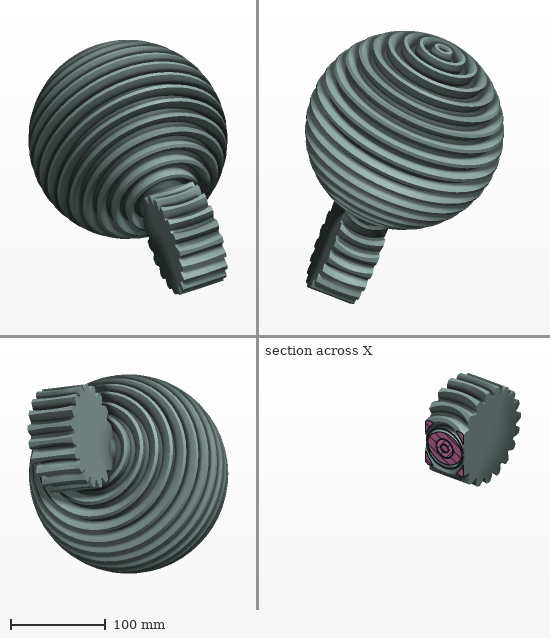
import cadquery as cq
import math

module = 5.0
pressure_angle = math.radians(20)
ball_teeth = 40
gear_teeth = 20
gear_width = 50.0
tip_clearance = 0.25 * module
flank_clearance = 0.1

ball_pitch_radius = module * ball_teeth / 2
ball_tip_radius = ball_pitch_radius + module
ball_root_radius = ball_pitch_radius - module - tip_clearance
base_radius = ball_pitch_radius * math.cos(pressure_angle)
gear_pitch_radius = module * gear_teeth / 2
gear_tip_radius = gear_pitch_radius + module
cutter_tip_radius = ball_tip_radius + tip_clearance
centre_distance = ball_pitch_radius + gear_pitch_radius
gear_ratio = ball_teeth / gear_teeth
ball_tooth_pitch = 2 * math.pi / ball_teeth
setback_angle = flank_clearance / ball_pitch_radius

pole_rings = 2
pole_cut_turn = math.radians(6)
approach_angle = math.radians(33)
recess_angle = math.radians(12)

profile_samples = 30
flank_points = 6
gap_sections = 5
gap_overshoot = 1.0

bottom_margin = 1e-6
seam_margin = 1e-4

origin = (0, 0, 0)
x_axis = (1, 0, 0)
y_axis = (0, 1, 0)


def polar(radius, angle):
    return (radius * math.cos(angle), radius * math.sin(angle))


def involute(angle):
    return math.tan(angle) - angle


def ring_angle(ring):
    """Angle of a ring tooth's centre from the ball's pole on +X."""
    return (ring + 0.5) * ball_tooth_pitch


def half_tooth_angle(radius):
    """Half the angle that a full involute tooth fills at a radius, radial below the base circle."""
    slope = math.acos(min(1.0, base_radius / radius))
    return ball_tooth_pitch / 4 + involute(pressure_angle) - involute(slope)


def add_tooth(profile, ring, tip_radius, setback):
    """Continue a profile over one ring tooth, from its root on the pole side."""
    centre = ring_angle(ring)
    middle_radius = (ball_root_radius + tip_radius) / 2
    root = half_tooth_angle(ball_root_radius) - setback
    middle = half_tooth_angle(middle_radius) - setback
    tip = half_tooth_angle(tip_radius) - setback
    return (
        profile.threePointArc(polar(middle_radius, centre - middle), polar(tip_radius, centre - tip))
        .threePointArc(polar(tip_radius, centre), polar(tip_radius, centre + tip))
        .threePointArc(polar(middle_radius, centre + middle), polar(ball_root_radius, centre + root))
    )


def make_ball():
    half_gap = ball_tooth_pitch / 2 - half_tooth_angle(ball_root_radius) + setback_angle
    profile = cq.Workplane("XY").lineTo(ball_root_radius, 0)
    profile = profile.threePointArc(
        polar(ball_root_radius, half_gap / 2), polar(ball_root_radius, half_gap)
    )
    last_ring = ball_teeth // 2 - 1
    for ring in range(last_ring):
        gap_middle = (ring + 1) * ball_tooth_pitch
        profile = add_tooth(profile, ring, ball_tip_radius, setback_angle).threePointArc(
            polar(ball_root_radius, gap_middle), polar(ball_root_radius, gap_middle + half_gap)
        )
    profile = add_tooth(profile, last_ring, ball_tip_radius, setback_angle).threePointArc(
        polar(ball_root_radius, math.pi - half_gap / 2), (-ball_root_radius, 0)
    )
    return profile.close().revolve(360, origin, x_axis)


def make_quarter_blank():
    """The +Y, +Z quarter of the gear before its teeth are cut."""
    outline = (
        cq.Workplane("XZ")
        .moveTo(-gear_tip_radius, 0)
        .threePointArc((0, gear_tip_radius), (gear_tip_radius, 0))
        .close()
    )
    return outline.extrude(-gear_width / 2)


def make_ring_cutter(ring):
    """The +Y half of one full ring tooth, with its tip raised by the clearance."""
    start = ring_angle(ring) - half_tooth_angle(ball_root_radius)
    profile = cq.Workplane("XY").moveTo(*polar(ball_root_radius, start))
    cutter = add_tooth(profile, ring, cutter_tip_radius, 0).close().revolve(360, origin, x_axis)
    size = 2 * cutter_tip_radius
    half_space = cq.Workplane("XY").box(size, size, size, centered=(True, False, True))
    return cutter.intersect(half_space)


def cut_pole_gaps(quarter):
    """Roll the rings nearest the pole past the blank in equal turns, one of which is zero."""
    for ring in range(pole_rings):
        cutter = make_ring_cutter(ring)
        gap_angle = gear_ratio * ring_angle(ring)
        first = math.ceil((gap_angle - approach_angle) / pole_cut_turn)
        last = math.floor((gap_angle + recess_angle) / pole_cut_turn)
        for step in range(first, last + 1):
            turn = math.degrees(step * pole_cut_turn)
            placed = (
                cutter.rotate(origin, y_axis, turn / gear_ratio)
                .translate((-centre_distance, 0, 0))
                .rotate(origin, y_axis, turn)
            )
            quarter = quarter.cut(placed)
    return quarter


def slice_profile(ring, offset):
    """Radius and angle of points along a full ring tooth where the plane Y = offset cuts it."""
    points = []
    for sample in range(profile_samples + 1):
        height = (cutter_tip_radius - ball_root_radius) * sample / profile_samples
        radius = ball_root_radius + height
        for side in (-1, 1):
            x, ring_radius = polar(radius, ring_angle(ring) + side * half_tooth_angle(radius))
            z = math.sqrt(ring_radius**2 - offset**2)
            points.append((math.hypot(x, z), math.atan2(z, x)))
    return points


def swept_angles(profile, radius):
    """Lowest and highest gear angle that the rolling profile reaches at a radius of the gear."""
    angles = []
    for ball_radius, ball_angle in profile:
        cosine = (centre_distance**2 + ball_radius**2 - radius**2) / (2 * centre_distance * ball_radius)
        if cosine <= 1.0:
            reach = math.acos(cosine)
            for lead in (-reach, reach):
                gear_lead = math.asin(ball_radius * math.sin(lead) / radius)
                angles.append(gear_ratio * (ball_angle - lead) + gear_lead)
    return min(angles), max(angles)


def gap_section(ring, offset):
    """Closed outline of the gap that a ring tooth sweeps in the plane Y = offset."""
    profile = slice_profile(ring, offset)
    bottom = centre_distance - max(radius for radius, angle in profile) + bottom_margin
    top = gear_tip_radius + gap_overshoot
    low_flank = []
    high_flank = []
    for index in range(flank_points):
        radius = bottom + (top - bottom) * (index / (flank_points - 1)) ** 2
        low_angle, high_angle = swept_angles(profile, radius)
        for flank, angle in ((low_flank, low_angle), (high_flank, high_angle)):
            inward, z = polar(radius, angle)
            flank.append(cq.Vector(-inward, offset, z))
    return cq.Wire.assembleEdges([
        cq.Edge.makeSpline(low_flank[::-1]),
        cq.Edge.makeLine(low_flank[0], high_flank[0]),
        cq.Edge.makeSpline(high_flank),
        cq.Edge.makeLine(high_flank[-1], low_flank[-1]),
    ])


def make_gap(ring):
    spacing = gear_width / 2 / (gap_sections - 1)
    sections = [gap_section(ring, index * spacing) for index in range(gap_sections)]
    return cq.Workplane(cq.Solid.makeLoft(sections))


def with_mirrored(shapes, plane):
    return shapes + [shape.mirror(plane) for shape in shapes]


def join_quarters(quarter):
    """Sew the whole gear from one quarter's toothed skin, mirrored, and one flat face per side."""
    reach = 2 * gear_tip_radius
    half_width = gear_width / 2
    skin_box = cq.selectors.BoxSelector(
        (-reach, seam_margin, seam_margin), (reach, half_width - seam_margin, reach)
    )
    rim_box = cq.selectors.BoxSelector((-reach, 0, seam_margin), (reach, gear_width, reach))
    skin = with_mirrored(quarter.faces(skin_box).vals(), "XY")
    rim = with_mirrored(quarter.faces(">Y").edges(rim_box).vals(), "XY")
    side = cq.Face.makeFromWires(cq.Wire.combine(rim)[0])
    shell = cq.Shell.makeShell(with_mirrored([*skin, side], "XZ"))
    return cq.Workplane(cq.Solid.makeSolid(shell)).clean()


def make_gear():
    quarter = cut_pole_gaps(make_quarter_blank())
    for ring in range(pole_rings, gear_teeth // 2):
        quarter = quarter.cut(make_gap(ring))
    return join_quarters(quarter).translate((centre_distance, 0, 0))


ball = make_ball()
gear = make_gear()
result = cq.Compound.makeCompound([ball.val(), gear.val()])